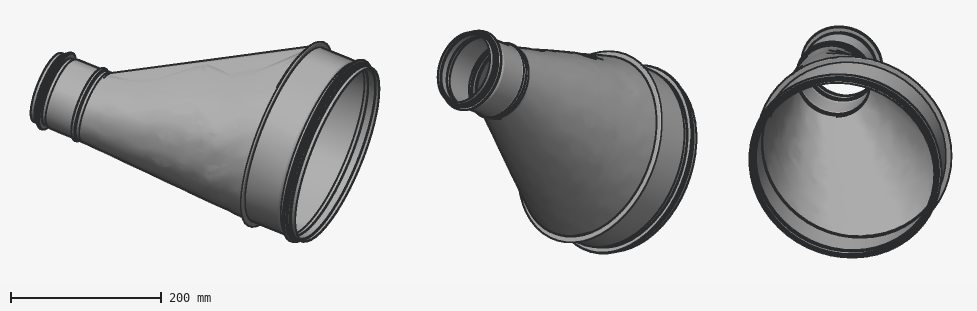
import cadquery as cq

LENGTH = 394.2
SHEET = 0.6
SMALL_RADIUS = 99.0 / 2
LARGE_RADIUS = 248.7 / 2

RIM_CURL = 1.5
SEAT_START = 6.5
SEAT_END = 16.0
SEAT_DEPTH = 2.5
GROOVE_END = 22.0
GROOVE_DEPTH = 1.77
SHOULDER_BEND = 24.5
SHOULDER_BEND_DEPTH = 0.5
SHOULDER_END = 26.0

GASKET_BASE_DEPTH = 0.5
HEEL_START = 7.5
HEEL_LOW = 0.8
HEEL_HIGH = 1.0
SHORT_LIP_HEIGHT = 2.8
SHORT_LIP_START = 10.0
SHORT_LIP_TIP_END = 12.0
SHORT_LIP_ROOT_END = 10.5
TALL_LIP_HEIGHT = 5.32
TALL_LIP_START = 13.5
TALL_LIP_CHAMFER = 0.8

BEAD_START = 60.5
BEAD_END = 68.0
BEAD_HEIGHT = 2.8
BEAD_ROOT_FILLET = 1.38

COLLAR_START = BEAD_END
COLLAR_END = 76.5
SMALL_SPIGOT_END = 73.0
CONE_END = 313.8
COLLAR_RADIUS = SMALL_RADIUS + SHEET
SMALL_AXIS_Y = COLLAR_RADIUS - LARGE_RADIUS

FLANGE_START = 317.0
FLANGE_THICKNESS = 3.0
FLANGE_ROUNDING = 1.0
FLANGE_RADIUS = 263.5 / 2


def revolve_about_x(outline):
    """Turn a closed outline in the XY plane around the X axis."""
    return outline.revolve(360, (0, 0, 0), (1, 0, 0))


def disc(start, end, radius, axis_y=0.0):
    """Solid cylinder along X."""
    return cq.Workplane("YZ", origin=(start, axis_y, 0)).circle(radius).extrude(end - start)


def place_small(body):
    return body.translate((0, SMALL_AXIS_Y, 0))


def place_large(body):
    return body.mirror("YZ").translate((LENGTH, 0, 0))


def spigot(radius, length):
    """Sheet tube with a rolled rim at x = 0, a gasket seat and a groove behind the seat."""
    bore = radius - SHEET
    rim_radius = radius - RIM_CURL
    outline = (
        cq.Workplane("XY")
        .moveTo(0, rim_radius)
        .radiusArc((RIM_CURL, radius), RIM_CURL)
        .lineTo(SEAT_START, radius)
        .lineTo(SEAT_START, radius - SEAT_DEPTH)
        .lineTo(SEAT_END, radius - SEAT_DEPTH)
        .lineTo(SEAT_END, radius - GROOVE_DEPTH)
        .lineTo(GROOVE_END, radius - GROOVE_DEPTH)
        .lineTo(SHOULDER_BEND, radius - SHOULDER_BEND_DEPTH)
        .lineTo(SHOULDER_END, radius)
        .lineTo(length, radius)
        .lineTo(length, bore)
        .lineTo(SHOULDER_END, bore)
        .lineTo(SHOULDER_BEND, bore - SHOULDER_BEND_DEPTH)
        .lineTo(GROOVE_END, bore - GROOVE_DEPTH)
        .lineTo(SEAT_END + SHEET, bore - GROOVE_DEPTH)
        .lineTo(SEAT_END + SHEET, bore - SEAT_DEPTH)
        .lineTo(SEAT_START - SHEET, bore - SEAT_DEPTH)
        .lineTo(SEAT_START - SHEET, bore)
        .lineTo(RIM_CURL, bore)
        .radiusArc((SHEET, rim_radius), SHEET - RIM_CURL)
        .close()
    )
    return revolve_about_x(outline)


def bead_blank(radius, inset):
    """Round-topped ring with filleted roots; the inset shrinks it to the inner face of the sheet."""
    fillet = BEAD_ROOT_FILLET + inset
    root = radius - inset
    shoulder = radius + BEAD_ROOT_FILLET
    crest = radius + BEAD_HEIGHT - inset
    bottom = radius - 2 * SHEET
    outline = (
        cq.Workplane("XY")
        .moveTo(BEAD_START, bottom)
        .lineTo(BEAD_START, root)
        .radiusArc((BEAD_START + fillet, shoulder), -fillet)
        .threePointArc(((BEAD_START + BEAD_END) / 2, crest), (BEAD_END - fillet, shoulder))
        .radiusArc((BEAD_END, root), -fillet)
        .lineTo(BEAD_END, bottom)
        .close()
    )
    return revolve_about_x(outline)


def add_stop_bead(tube, radius):
    """Roll a hollow bead outwards in the tube wall."""
    return tube.union(bead_blank(radius, 0)).cut(bead_blank(radius, SHEET))


def gasket(radius):
    """Rubber ring that fills the seat, with a stepped short lip and a chamfered tall lip."""
    base = radius - GASKET_BASE_DEPTH
    bottom = radius - SEAT_DEPTH
    short_tip = radius + SHORT_LIP_HEIGHT
    tall_tip = radius + TALL_LIP_HEIGHT
    outline = (
        cq.Workplane("XY")
        .moveTo(SEAT_START, bottom)
        .lineTo(SEAT_START, base)
        .lineTo(HEEL_START, radius + HEEL_LOW)
        .lineTo(SHORT_LIP_START, radius + HEEL_HIGH)
        .lineTo(SHORT_LIP_START, short_tip)
        .lineTo(SHORT_LIP_TIP_END, short_tip)
        .lineTo(SHORT_LIP_ROOT_END, base)
        .lineTo(TALL_LIP_START, base)
        .lineTo(TALL_LIP_START, tall_tip)
        .lineTo(SEAT_END - TALL_LIP_CHAMFER, tall_tip)
        .lineTo(SEAT_END, tall_tip - TALL_LIP_CHAMFER)
        .lineTo(SEAT_END, bottom)
        .close()
    )
    return revolve_about_x(outline)


def cone_blank(collar_radius, wide_radius):
    """Solid collar, slanted cone and short wide cylinder in one piece."""
    collar = disc(COLLAR_START, COLLAR_END, collar_radius, SMALL_AXIS_Y)
    slant = (
        cq.Workplane("YZ", origin=(COLLAR_END, 0, 0))
        .center(SMALL_AXIS_Y, 0)
        .circle(collar_radius)
        .workplane(offset=CONE_END - COLLAR_END)
        .center(-SMALL_AXIS_Y, 0)
        .circle(wide_radius)
        .loft(ruled=True)
    )
    wide_end = disc(CONE_END, FLANGE_START, wide_radius)
    return collar.union(slant).union(wide_end)


def eccentric_cone():
    outside = cone_blank(COLLAR_RADIUS, LARGE_RADIUS)
    inside = cone_blank(SMALL_RADIUS, LARGE_RADIUS - SHEET)
    return outside.cut(inside)


def flange():
    """Flat ring with rounded rim edges."""
    end = FLANGE_START + FLANGE_THICKNESS
    blank = disc(FLANGE_START, end, FLANGE_RADIUS).edges("%CIRCLE").fillet(FLANGE_ROUNDING)
    return blank.cut(disc(FLANGE_START, end, LARGE_RADIUS))


small_spigot = place_small(add_stop_bead(spigot(SMALL_RADIUS, SMALL_SPIGOT_END), SMALL_RADIUS))
large_spigot = place_large(spigot(LARGE_RADIUS, LENGTH - FLANGE_START))
small_gasket = place_small(gasket(SMALL_RADIUS))
large_gasket = place_large(gasket(LARGE_RADIUS))
cone = eccentric_cone()
flange_ring = flange()

result = cq.Compound.makeCompound([
    small_spigot.val(),
    large_spigot.val(),
    small_gasket.val(),
    large_gasket.val(),
    cone.val(),
    flange_ring.val(),
])